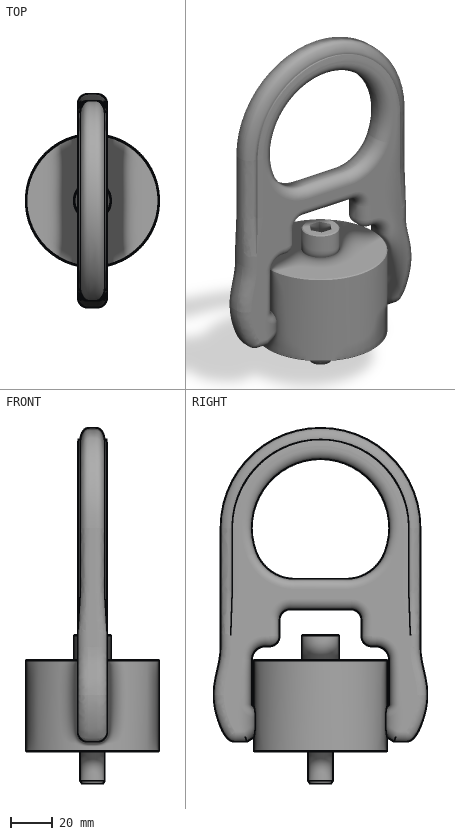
import cadquery as cq
import math

BASE_RADIUS = 32.49
BASE_HEIGHT = 44.8
BASE_CHAMFER = 0.5

SCREW_RADIUS = 6.1
SCREW_PROTRUSION = 15.5
SCREW_TIP_CHAMFER = (1.5, 0.9)
HEAD_RADIUS = 9.15
HEAD_HEIGHT = 12.0
HEAD_CHAMFER = 0.5
SOCKET_ACROSS_FLATS = 10.0
SOCKET_DEPTH = 6.0
SOCKET_SIDES = 6
SOCKET_TURN = 180 / SOCKET_SIDES

OVERALL_HEIGHT = 172.9
OVERALL_WIDTH = 103.92
BAIL_THICKNESS = 14.4
HALF_THICKNESS = BAIL_THICKNESS / 2
EDGE_ROUND = 5.0
BOW_RADIUS = 48.6
BOW_TOP = OVERALL_HEIGHT - SCREW_PROTRUSION
BOW_CENTER_Z = BOW_TOP - BOW_RADIUS

SHANK_END_Z = 51.0
BULGE_Z = 27.7
BULGE_Y = OVERALL_WIDTH / 2
HEEL_ARC_MIDDLE = (49.4, 14.3)
FOOT_Z = 4.8
HEEL_CENTER_Y = 41.3
HEEL_RADIUS = 5.2
HEEL_END_ANGLE = -43.0
FOOT_INNER_Y = 35.8

TOE_END_Y = 26.0
TOE_END_LOWER_Z = 10.8
TOE_TOP_Z = 22.1
TOE_CORNER_RADIUS = 1.0

WINDOW_Y = 33.2
WINDOW_STEP_Z = 51.1
WINDOW_SHOULDER_RADIUS = 6.25
NECK_Y = 19.8
NECK_TOP_Z = 69.1
NECK_CORNER_RADIUS = 5.0
STEP_CORNER_RADIUS = 5.2

EYE_RADIUS = 33.3
EYE_BOTTOM_Z = 84.1
EYE_CORNER_RADIUS = 19.8

RIM_FLAT_HALF = 1.5
CROWN_SECTION = (RIM_FLAT_HALF, HALF_THICKNESS, 8.8)
BAR_SECTION = (RIM_FLAT_HALF, 5.9, 5.7)
PLAIN_SECTION = (HALF_THICKNESS - EDGE_ROUND, HALF_THICKNESS, EDGE_ROUND)
CROWN_BOTTOM_Z = 77.1
CROWN_FADE_Z = 56.8
TOOL_MARGIN = 2.0


def make_base():
    return (
        cq.Workplane("XY").circle(BASE_RADIUS).extrude(BASE_HEIGHT)
        .faces("<Z or >Z").chamfer(BASE_CHAMFER)
    )


def make_screw():
    """Shank below the base and socket head above it."""
    tip_length, tip_inset = SCREW_TIP_CHAMFER
    shank = (
        cq.Workplane("XY").circle(SCREW_RADIUS).extrude(-SCREW_PROTRUSION)
        .faces("<Z").chamfer(tip_length, tip_inset)
    )
    head = (
        cq.Workplane("XY").workplane(offset=BASE_HEIGHT).circle(HEAD_RADIUS).extrude(HEAD_HEIGHT)
        .faces(">Z").chamfer(HEAD_CHAMFER)
    )
    socket_diameter = SOCKET_ACROSS_FLATS / math.cos(math.pi / SOCKET_SIDES)
    socket = (
        cq.Workplane("XY").workplane(offset=BASE_HEIGHT + HEAD_HEIGHT - SOCKET_DEPTH)
        .transformed(rotate=(0, 0, SOCKET_TURN)).polygon(SOCKET_SIDES, socket_diameter).extrude(SOCKET_DEPTH)
    )
    return shank, head.cut(socket)


def arc_point(center, radius, angle):
    """Point on an arc at the given angle in degrees."""
    turn = math.radians(angle)
    return (center[0] + radius * math.cos(turn), center[1] + radius * math.sin(turn))


def make_half_bail():
    """Half of the bail plate on the +Y side, without the eye and with square edges."""
    shoulder = (WINDOW_Y - WINDOW_SHOULDER_RADIUS, WINDOW_STEP_Z - WINDOW_SHOULDER_RADIUS)
    step = (NECK_Y + STEP_CORNER_RADIUS, WINDOW_STEP_Z + STEP_CORNER_RADIUS)
    neck = (NECK_Y - NECK_CORNER_RADIUS, NECK_TOP_Z - NECK_CORNER_RADIUS)
    toe = (WINDOW_Y - TOE_CORNER_RADIUS, TOE_TOP_Z + TOE_CORNER_RADIUS)
    bow = (0, BOW_CENTER_Z)
    heel = (HEEL_CENTER_Y, FOOT_Z + HEEL_RADIUS)
    heel_start = arc_point(heel, HEEL_RADIUS, HEEL_END_ANGLE)
    heel_middle = arc_point(heel, HEEL_RADIUS, (HEEL_END_ANGLE - 90) / 2)
    heel_turn = math.radians(HEEL_END_ANGLE)
    heel_direction = (math.sin(heel_turn), -math.cos(heel_turn))
    outline = (
        cq.Workplane("YZ").workplane(offset=-HALF_THICKNESS)
        .moveTo(0, BOW_TOP)
        .threePointArc(arc_point(bow, BOW_RADIUS, 45), (BOW_RADIUS, BOW_CENTER_Z))
        .lineTo(BOW_RADIUS, SHANK_END_Z)
        .spline([(BULGE_Y, BULGE_Z)], tangents=[(0, -1), (0, -1)], includeCurrent=True)
        .spline([HEEL_ARC_MIDDLE, heel_start], tangents=[(0, -1), heel_direction], includeCurrent=True)
        .threePointArc(heel_middle, (HEEL_CENTER_Y, FOOT_Z))
        .lineTo(FOOT_INNER_Y, FOOT_Z)
        .lineTo(TOE_END_Y, TOE_END_LOWER_Z)
        .lineTo(TOE_END_Y, TOE_TOP_Z)
        .lineTo(toe[0], TOE_TOP_Z)
        .threePointArc(arc_point(toe, TOE_CORNER_RADIUS, -45), (WINDOW_Y, toe[1]))
        .lineTo(WINDOW_Y, shoulder[1])
        .threePointArc(arc_point(shoulder, WINDOW_SHOULDER_RADIUS, 45), (shoulder[0], WINDOW_STEP_Z))
        .lineTo(step[0], WINDOW_STEP_Z)
        .threePointArc(arc_point(step, STEP_CORNER_RADIUS, 225), (NECK_Y, step[1]))
        .lineTo(NECK_Y, neck[1])
        .threePointArc(arc_point(neck, NECK_CORNER_RADIUS, 45), (neck[0], NECK_TOP_Z))
        .lineTo(0, NECK_TOP_Z)
        .close()
    )
    return outline.extrude(BAIL_THICKNESS)


def make_eye():
    """Cutter for the eye: a circle flattened at the bottom with tangent corner arcs."""
    drop = BOW_CENTER_Z - EYE_BOTTOM_Z - EYE_CORNER_RADIUS
    reach = EYE_RADIUS - EYE_CORNER_RADIUS
    flat_half = math.sqrt(reach ** 2 - drop ** 2)
    corner_z = EYE_BOTTOM_Z + EYE_CORNER_RADIUS
    join_angle = -math.degrees(math.atan2(drop, flat_half))
    join_y, join_z = arc_point((0, BOW_CENTER_Z), EYE_RADIUS, join_angle)
    middle_y, middle_z = arc_point((flat_half, corner_z), EYE_CORNER_RADIUS, (join_angle - 90) / 2)
    return (
        cq.Workplane("YZ").workplane(offset=-HALF_THICKNESS)
        .moveTo(-flat_half, EYE_BOTTOM_Z)
        .lineTo(flat_half, EYE_BOTTOM_Z)
        .threePointArc((middle_y, middle_z), (join_y, join_z))
        .threePointArc((0, BOW_CENTER_Z + EYE_RADIUS), (-join_y, join_z))
        .threePointArc((-middle_y, middle_z), (-flat_half, EYE_BOTTOM_Z))
        .close()
        .extrude(BAIL_THICKNESS)
    )


def rim_corner(plane, section):
    """Waste outside the +X, +Y rim corner, bounded by an elliptical round."""
    flat_half, side_half, depth = section
    diagonal = math.sqrt(0.5)
    middle = (
        flat_half + (side_half - flat_half) * diagonal,
        BOW_RADIUS - depth * (1 - diagonal),
    )
    end = (side_half, BOW_RADIUS - depth)
    return (
        plane.moveTo(flat_half, BOW_RADIUS)
        .spline([middle, end], tangents=[(1, 0), (0, -1)], includeCurrent=True)
        .lineTo(HALF_THICKNESS + TOOL_MARGIN, BOW_RADIUS - depth)
        .lineTo(HALF_THICKNESS + TOOL_MARGIN, BOW_RADIUS + TOOL_MARGIN)
        .lineTo(flat_half, BOW_RADIUS + TOOL_MARGIN)
        .close()
    )


def make_rim_cutters(section):
    """Cutters for the +X face: around the bow, down both shanks, fading to the plain edge round."""
    bow_plane = cq.Workplane("XY", origin=(0, 0, BOW_CENTER_Z))
    shank_plane = cq.Workplane("XY", origin=(0, 0, CROWN_BOTTOM_Z))
    fade_plane = cq.Workplane("XY", origin=(0, 0, CROWN_FADE_Z))
    bow = rim_corner(bow_plane, section).revolve(180, (0, 0), (1, 0))
    shank = rim_corner(shank_plane, section).extrude(BOW_CENTER_Z - CROWN_BOTTOM_Z)
    fade_end = rim_corner(fade_plane, PLAIN_SECTION).workplane(offset=CROWN_BOTTOM_Z - CROWN_FADE_Z)
    fade = rim_corner(fade_end, section).loft(ruled=True)
    return [bow, shank, shank.mirror("XZ"), fade, fade.mirror("XZ")]


def make_bail():
    """Complete bail: rounded plate with eye, and a bead-like crown on its outer rim."""
    half = make_half_bail()
    plate = half.union(half.mirror("XZ")).cut(make_eye())
    bail = plate.faces("<X or >X").edges().fillet(EDGE_ROUND)
    for cutter in make_rim_cutters(CROWN_SECTION) + make_rim_cutters(BAR_SECTION):
        bail = bail.cut(cutter).cut(cutter.mirror("YZ"))
    return bail


result = make_base()
for piece in (*make_screw(), make_bail()):
    result = result.union(piece)